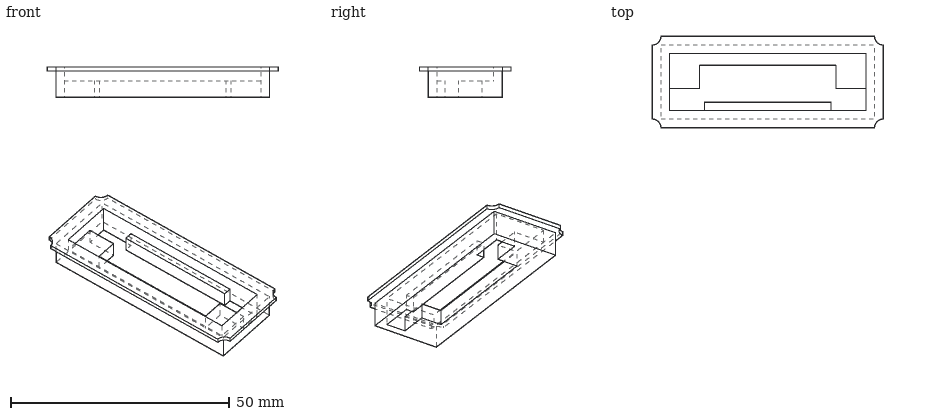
import cadquery as cq

flange_length = 53.0
flange_width = 21.0
flange_thickness = 1.0
corner_notch_radius = 2.0

flange_overhang = 2.0
wall_thickness = 2.0
total_height = 7.0
body_length = flange_length - 2 * flange_overhang
body_width = flange_width - 2 * flange_overhang
opening_length = body_length - 2 * wall_thickness
opening_width = body_width - 2 * wall_thickness

ledge_height = 3.8
leg_length = 6.9
leg_reach = 8.0
back_ledge_depth = 2.7
front_ledge_length = 29.0
front_ledge_depth = 1.9

bottom_z = -total_height
back_y = opening_width / 2
front_y = -opening_width / 2


def block(length, width, height, base_z, center_y=0.0):
    """Box centred on X = 0, standing on base_z."""
    return (
        cq.Workplane("XY", origin=(0, center_y, base_z))
        .box(length, width, height, centered=(True, True, False))
    )


def make_flange():
    """Plate with a concave round notch at every corner."""
    plate = block(flange_length, flange_width, flange_thickness, -flange_thickness)
    notches = (
        cq.Workplane("XY", origin=(0, 0, -flange_thickness))
        .rect(flange_length, flange_width, forConstruction=True)
        .vertices()
        .circle(corner_notch_radius)
        .extrude(flange_thickness)
    )
    return plate.cut(notches)


def make_frame():
    """Flange and body with the rectangular opening through both."""
    body = block(body_length, body_width, total_height - flange_thickness, bottom_z)
    opening = block(opening_length, opening_width, total_height, bottom_z)
    return make_flange().union(body).cut(opening)


def make_back_ledge():
    """U-shaped ledge along the back wall, with a leg at each end."""
    full = block(opening_length, leg_reach, ledge_height, bottom_z, back_y - leg_reach / 2)
    gap_length = opening_length - 2 * leg_length
    gap_width = leg_reach - back_ledge_depth
    gap_center_y = back_y - back_ledge_depth - gap_width / 2
    return full.cut(block(gap_length, gap_width, ledge_height, bottom_z, gap_center_y))


def make_front_ledge():
    """Straight ledge centred on the front wall."""
    center_y = front_y + front_ledge_depth / 2
    return block(front_ledge_length, front_ledge_depth, ledge_height, bottom_z, center_y)


result = make_frame().union(make_back_ledge()).union(make_front_ledge())